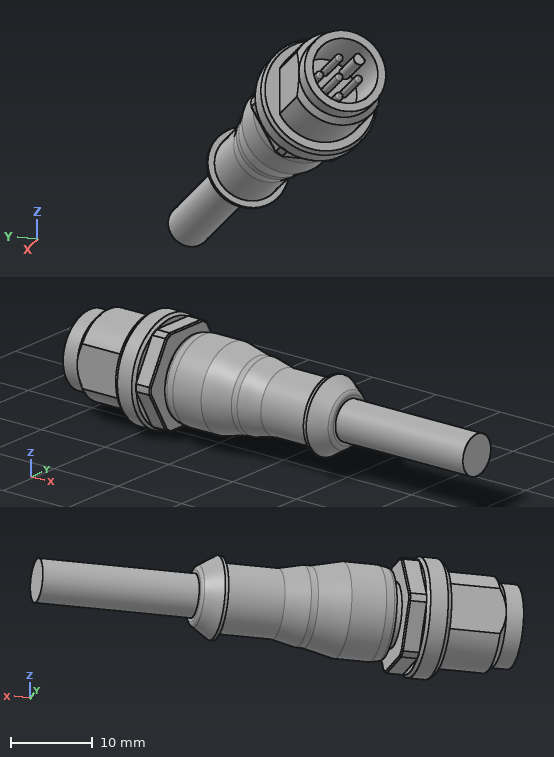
import cadquery as cq
import math

nose_end = 2.25
shell_start = 3.05
flange_start = 9.8
flange_end = 13.0
nut_end = 15.25
grip_start = 16.3
grip_shoulder = 17.8
taper_start = 22.2
waist_start = 26.2
waist_end = 27.15
sleeve_start = 30.3
collar_start = 37.7
collar_rim_end = 38.1
collar_end = 40.7
cable_end = 60.7

nose_diameter = 10.5
shell_diameter = 12.0
flange_diameter = 15.0
neck_diameter = 8.3
grip_face_diameter = 11.4
grip_rim_diameter = 11.65
grip_diameter = shell_diameter
waist_diameter = 10.2
sleeve_diameter = 8.8
collar_diameter = nose_diameter
collar_end_diameter = 7.2
cable_diameter = 5.5
grip_edge = 0.35
flange_front_chamfer = 0.55
flange_back_chamfer = 0.4
flange_chamfer_height = 0.35
collar_edge_radius = 0.7

nut_across_flats = 12.9
nut_corner_diameter = 14.4
nut_chamfer = 0.2

socket_diameter = 8.4
socket_depth = 8.2
pin_diameter = 1.0
pin_circle_radius = 2.5
pin_recess = 2.2
pin_tip_radius = 0.3
key_radius = 0.7
key_distance = 3.7
key_recess = 2.4
key_angle = 135

flat_spacing = nose_diameter


def cylinder(start, end, diameter, y=0, z=0):
    """Solid cylinder parallel to X between two stations."""
    return cq.Workplane("YZ", origin=(start, y, z)).circle(diameter / 2).extrude(end - start)


def make_shell():
    """Nose, conical step and shell with two flats facing -Y and +Y."""
    profile = [
        (0, 0),
        (0, nose_diameter / 2),
        (nose_end, nose_diameter / 2),
        (shell_start, shell_diameter / 2),
        (flange_start, shell_diameter / 2),
        (flange_start, 0),
    ]
    shell = cq.Workplane("XY").polyline(profile).close().revolve(360, (0, 0), (1, 0))
    slab = cq.Workplane("XY").box(flange_start, flat_spacing, shell_diameter, centered=(False, True, True))
    return shell.intersect(slab)


def make_flange():
    """Round flange with a bevel on each edge."""
    radius = flange_diameter / 2
    bevel_radius = radius - flange_chamfer_height
    profile = [
        (flange_start, 0),
        (flange_start, bevel_radius),
        (flange_start + flange_front_chamfer, radius),
        (flange_end - flange_back_chamfer, radius),
        (flange_end, bevel_radius),
        (flange_end, 0),
    ]
    return cq.Workplane("XY").polyline(profile).close().revolve(360, (0, 0), (1, 0))


def make_nut():
    """Hexagon with corners on the Y axis, rounded by a cylinder and chamfered at the back."""
    across_corners = nut_across_flats / math.cos(math.pi / 6)
    hexagon = (
        cq.Workplane("YZ", origin=(flange_end, 0, 0))
        .polygon(6, across_corners)
        .extrude(nut_end - flange_end)
    )
    rounded = hexagon.intersect(cylinder(flange_end, nut_end, nut_corner_diameter))
    return rounded.faces(">X").chamfer(nut_chamfer)


def make_grip():
    """Moulded grip that narrows to a waist, a sleeve and a flared collar."""
    profile = (
        cq.Workplane("XY")
        .moveTo(grip_start, 0)
        .lineTo(grip_start, grip_face_diameter / 2)
        .lineTo(grip_start + grip_edge, grip_rim_diameter / 2)
        .lineTo(grip_shoulder, grip_diameter / 2)
        .lineTo(taper_start, grip_diameter / 2)
        .lineTo(waist_start, waist_diameter / 2)
        .lineTo(waist_end, waist_diameter / 2)
        .lineTo(sleeve_start, sleeve_diameter / 2)
        .lineTo(collar_start, sleeve_diameter / 2)
        .lineTo(collar_start, collar_diameter / 2)
        .lineTo(collar_rim_end, collar_diameter / 2)
        .lineTo(collar_end, collar_end_diameter / 2)
        .lineTo(collar_end, 0)
        .close()
    )
    grip = profile.revolve(360, (0, 0), (1, 0))
    return grip.faces(">X").edges().fillet(collar_edge_radius)


def make_pins():
    """Centre pin and four pins around it, standing on the socket floor."""
    positions = [(0, 0)]
    for index in range(4):
        angle = index * math.pi / 2
        positions.append((pin_circle_radius * math.cos(angle), pin_circle_radius * math.sin(angle)))
    pins = []
    for y, z in positions:
        pin = cylinder(pin_recess, socket_depth, pin_diameter, y, z)
        pins.append(pin.faces("<X").edges().fillet(pin_tip_radius))
    return pins


def make_key():
    """Rounded coding key running along the socket wall."""
    angle = math.radians(key_angle)
    y = key_distance * math.cos(angle)
    z = key_distance * math.sin(angle)
    return cylinder(key_recess, socket_depth, 2 * key_radius, y, z)


result = make_shell().cut(cylinder(0, socket_depth, socket_diameter))
result = result.union(make_flange()).union(make_nut())
result = result.union(cylinder(nut_end, grip_start, neck_diameter))
result = result.union(make_grip())
result = result.union(cylinder(collar_end, cable_end, cable_diameter))
for pin in make_pins():
    result = result.union(pin)
result = result.union(make_key())